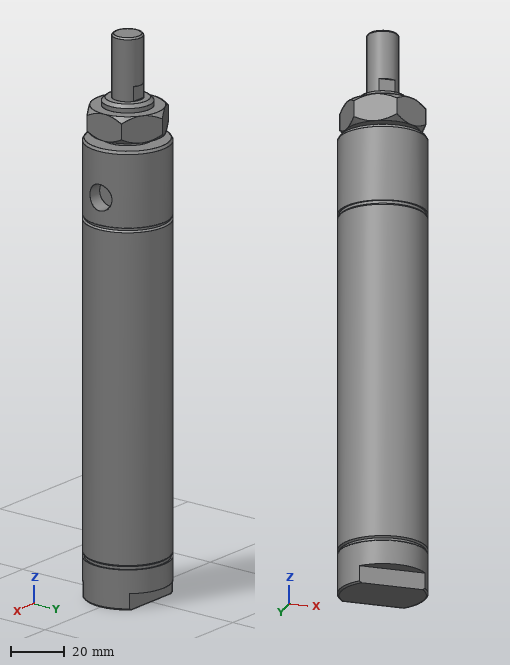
import cadquery as cq
import math

total_height = 222.2
body_diameter = 34.0
body_radius = body_diameter / 2

shoulder_height = 181.1
rim_chamfer_height = 1.1
rim_chamfer_width = 0.7
tail_chamfer = 0.7
groove_depth = 0.7
groove_width = 1.8
tube_bottom = 17.8
tube_top = 149.1
neck_diameter = 19.8
neck_top = 197.1
neck_chamfer = 1.3
tail_width = 22.0
tail_height = 6.7
port_diameter = 10.5
port_height = 161.8
port_depth = 6.7

rod_diameter = 12.0
rod_chamfer = 0.7
rod_bottom = shoulder_height
flat_spacing = 10.2
flat_top = 203.0

nut_across_flats = 28.5
nut_across_corners = nut_across_flats / math.cos(math.pi / 6)
nut_bottom = 183.4
nut_thickness = 10.7


def disc(diameter, bottom, top):
    """Upright cylinder on the part axis between two heights."""
    return cq.Workplane("XY").workplane(offset=bottom).circle(diameter / 2).extrude(top - bottom)


def flats_cutter(width, bottom, top):
    """Two blocks that leave parallel flats facing -Y and +Y, width apart."""
    height = top - bottom
    offset = (width + body_diameter) / 2
    return (
        cq.Workplane("XY")
        .workplane(offset=bottom)
        .pushPoints([(0, -offset), (0, offset)])
        .rect(2 * body_diameter, body_diameter)
        .extrude(height)
    )


def tapered_groove(tube_end, direction):
    """Groove with a 45 degree side at the tube end and a square side at the cap (+1 above, -1 below)."""
    taper_end = tube_end + direction * groove_depth
    cap_face = tube_end + direction * groove_width
    outline = [
        (body_radius, tube_end),
        (body_radius - groove_depth, taper_end),
        (body_radius - groove_depth, cap_face),
        (body_radius, cap_face),
    ]
    return cq.Workplane("XZ").polyline(outline).close().revolve(360, (0, 0, 0), (0, 1, 0))


def make_housing():
    """Barrel with its end caps, threaded neck, tail flats, air port and rod bore."""
    barrel = disc(body_diameter, 0, shoulder_height).faces("<Z").chamfer(tail_chamfer)
    barrel = barrel.faces(">Z").chamfer(rim_chamfer_height, rim_chamfer_width)
    neck = disc(neck_diameter, shoulder_height, neck_top).faces(">Z").chamfer(neck_chamfer)
    housing = barrel.union(neck)
    for tube_end, direction in ((tube_bottom, -1), (tube_top, 1)):
        housing = housing.cut(tapered_groove(tube_end, direction))
    housing = housing.cut(flats_cutter(tail_width, 0, tail_height))

    port = (
        cq.Workplane("YZ")
        .workplane(offset=body_radius - port_depth)
        .center(0, port_height)
        .circle(port_diameter / 2)
        .extrude(port_depth)
    )
    rod_bore = disc(rod_diameter, rod_bottom, neck_top)
    return housing.cut(port).cut(rod_bore)


def make_rod():
    """Round rod with a chamfered tip and two wrench flats just above the neck."""
    rod = disc(rod_diameter, rod_bottom, total_height).faces(">Z").chamfer(rod_chamfer)
    return rod.cut(flats_cutter(flat_spacing, neck_top, flat_top))


def make_nut():
    """Hexagonal nut with corners on the Y axis, chamfered at both ends."""
    hexagon = (
        cq.Workplane("XY")
        .workplane(offset=nut_bottom)
        .polygon(6, nut_across_corners)
        .extrude(nut_thickness)
        .rotate((0, 0, 0), (0, 0, 1), 30)
    )
    corner_chamfer = (nut_across_corners - nut_across_flats) / 2
    nut_top = nut_bottom + nut_thickness
    chamfer_envelope = disc(nut_across_corners, nut_bottom, nut_top).edges("%CIRCLE").chamfer(corner_chamfer)
    return hexagon.intersect(chamfer_envelope).cut(disc(neck_diameter, nut_bottom, nut_top))


housing = make_housing()
rod = make_rod()
nut = make_nut()
result = cq.Compound.makeCompound([housing.val(), rod.val(), nut.val()])